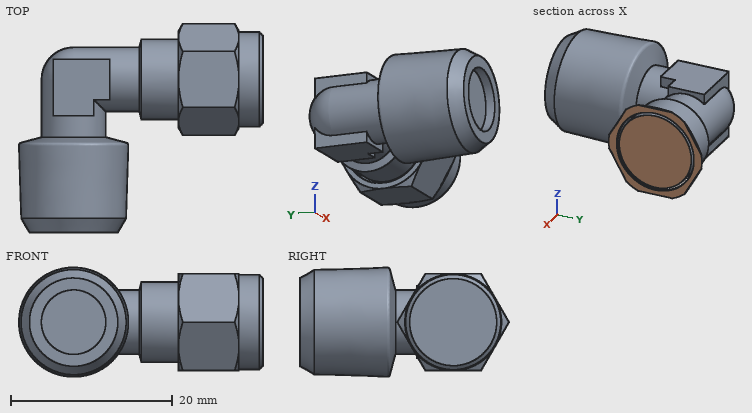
import cadquery as cq
import math


face_slope_angle = math.radians(15)

tube_radius = 4.0
pad_half_width = 2.5
pad_reach = 4.5
pad_height = 9.0

thread_length = 19.0
thread_max_radius = 6.81
thread_taper = 1 / 16
shoulder_start = 7.15
shoulder_rim_fillet = 0.4
thread_lead_length = 1.8
thread_lead_angle = math.radians(30)
socket_radius = 4.0
socket_depth = 1.2

arm_length = 23.5
collar_rim_start = 8.4
collar_radius = 5.0
nut_start = 13.0
nut_end = 20.5
nut_across_flats = 12.0
nut_chamfer_angle = math.radians(30)
nut_clearance_radius = 5.3
nut_clearance_depth = 0.5
nose_radius = 5.9
nose_chamfer = 0.5


def revolve_about_x(profile):
    """Turn a closed outline of (x, radius) points about the X axis."""
    return cq.Workplane("XY").polyline(profile).close().revolve(360, (0, 0, 0), (1, 0, 0))


def make_elbow_body():
    """Round elbow with a ball corner and an L-shaped wrench pad through its height."""
    ball = cq.Workplane("XY").sphere(tube_radius)
    x_tube = cq.Workplane("YZ").circle(tube_radius).extrude(nut_start)
    y_tube = cq.Workplane("XZ").circle(tube_radius).extrude(shoulder_start)
    pad = (
        cq.Workplane("XY")
        .workplane(offset=-pad_height / 2)
        .moveTo(-pad_half_width, pad_half_width)
        .lineTo(pad_reach, pad_half_width)
        .lineTo(pad_reach, -pad_half_width)
        .lineTo(pad_half_width, -pad_half_width)
        .lineTo(pad_half_width, -pad_reach)
        .lineTo(-pad_half_width, -pad_reach)
        .close()
        .extrude(pad_height)
    )
    return ball.union(x_tube).union(y_tube).union(pad)


def make_thread_arm():
    """Tapered thread envelope with a conical shoulder, a lead-in and an end socket."""
    thread_start = shoulder_start + (thread_max_radius - tube_radius) * math.tan(face_slope_angle)
    taper_end = thread_length - thread_lead_length
    taper_end_radius = thread_max_radius - (taper_end - thread_start) * thread_taper / 2
    tip_radius = taper_end_radius - thread_lead_length * math.tan(thread_lead_angle)
    profile = [
        (0, -shoulder_start),
        (tube_radius, -shoulder_start),
        (thread_max_radius, -thread_start),
        (taper_end_radius, -taper_end),
        (tip_radius, -thread_length),
        (0, -thread_length),
    ]
    arm = cq.Workplane("XY").polyline(profile).close().revolve(360, (0, 0, 0), (0, 1, 0))
    shoulder_rim = cq.selectors.BoxSelector(
        (-thread_max_radius, -thread_start - shoulder_rim_fillet, -thread_max_radius),
        (thread_max_radius, -thread_start + shoulder_rim_fillet, thread_max_radius),
    )
    arm = arm.edges("%CIRCLE").edges(shoulder_rim).fillet(shoulder_rim_fillet)
    socket = (
        cq.Workplane("XZ", origin=(0, -thread_length, 0))
        .circle(socket_radius)
        .extrude(-socket_depth)
    )
    return arm.cut(socket)


def make_collar():
    """Plain collar between the elbow and the nut, with a conical face at its elbow end."""
    face_length = (collar_radius - tube_radius) * math.tan(face_slope_angle)
    return revolve_about_x([
        (collar_rim_start - face_length, 0),
        (collar_rim_start - face_length, tube_radius),
        (collar_rim_start, collar_radius),
        (nut_end, collar_radius),
        (nut_end, 0),
    ])


def make_nut():
    """Hexagonal nut with chamfered corners, a clearance recess and a round nose."""
    flat_radius = nut_across_flats / 2
    corner_radius = flat_radius / math.cos(math.pi / 6)
    chamfer_length = (corner_radius - flat_radius) * math.tan(nut_chamfer_angle)
    hexagon = (
        cq.Workplane("YZ", origin=(nut_start, 0, 0))
        .polygon(6, 2 * corner_radius)
        .extrude(nut_end - nut_start)
    )
    chamfer_envelope = revolve_about_x([
        (nut_start, 0),
        (nut_start, flat_radius),
        (nut_start + chamfer_length, corner_radius),
        (nut_end - chamfer_length, corner_radius),
        (nut_end, flat_radius),
        (nut_end, 0),
    ])
    clearance = (
        cq.Workplane("YZ", origin=(nut_start, 0, 0))
        .circle(nut_clearance_radius)
        .extrude(nut_clearance_depth)
    )
    nose = (
        cq.Workplane("YZ", origin=(nut_end, 0, 0))
        .circle(nose_radius)
        .extrude(arm_length - nut_end)
        .faces(">X")
        .chamfer(nose_chamfer)
    )
    return hexagon.intersect(chamfer_envelope).cut(clearance).union(nose)


result = make_elbow_body().union(make_thread_arm()).union(make_nut()).union(make_collar())